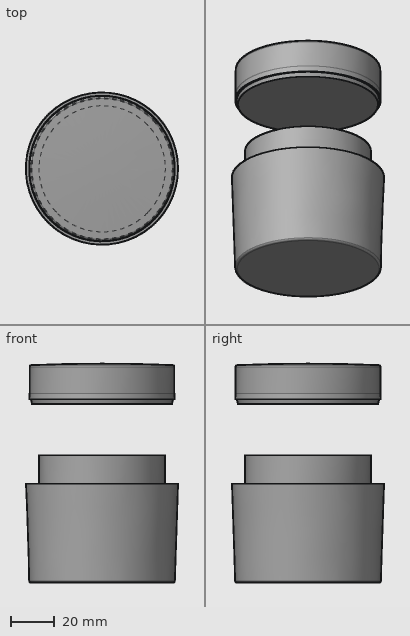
import cadquery as cq
import math

jar_top_radius = 35.0
jar_bottom_radius = 33.5
shoulder_height = 45.5
base_edge_radius = 1.0
neck_radius = 29.0
neck_height = 13.0

lid_gap = 23.5
lid_radius = 33.3
lid_foot_bottom_radius = 32.2
lid_foot_top_radius = 32.7
lid_foot_height = 2.1
lid_flare_radius = 33.5
lid_flare_height = 2.9
lid_wall_height = 12.0
lid_rim_round = 0.9
lid_crown_rise = 0.7

jar_height = shoulder_height + neck_height
lid_bottom = jar_height + lid_gap


def make_jar():
    """Cone that widens upward, rounded at its base, with the neck on its shoulder."""
    taper_angle = math.degrees(math.atan((jar_top_radius - jar_bottom_radius) / shoulder_height))
    body = (
        cq.Workplane("XY")
        .circle(jar_bottom_radius)
        .extrude(shoulder_height, taper=-taper_angle)
        .faces("<Z").edges()
        .fillet(base_edge_radius)
    )
    neck = cq.Workplane("XY").workplane(offset=shoulder_height).circle(neck_radius).extrude(neck_height)
    return body.union(neck)


def make_lid():
    """Revolved disc: tapered foot, flared skirt, straight wall, rounded rim and domed crown."""
    foot_top = lid_bottom + lid_foot_height
    wall_bottom = foot_top + lid_flare_height
    wall_top = wall_bottom + lid_wall_height
    rim_top = wall_top + lid_rim_round
    crown_top = rim_top + lid_crown_rise
    crown_radius = lid_radius - lid_rim_round

    rim_middle_offset = lid_rim_round * math.sin(math.radians(45))
    rim_middle = (crown_radius + rim_middle_offset, wall_top + rim_middle_offset)
    dome_radius = (crown_radius**2 + lid_crown_rise**2) / (2 * lid_crown_rise)
    dome_middle_x = crown_radius / 2
    dome_middle_z = crown_top - dome_radius + math.sqrt(dome_radius**2 - dome_middle_x**2)

    return (
        cq.Workplane("XZ")
        .moveTo(0, lid_bottom)
        .lineTo(lid_foot_bottom_radius, lid_bottom)
        .lineTo(lid_foot_top_radius, foot_top)
        .lineTo(lid_flare_radius, foot_top)
        .lineTo(lid_radius, wall_bottom)
        .lineTo(lid_radius, wall_top)
        .threePointArc(rim_middle, (crown_radius, rim_top))
        .threePointArc((dome_middle_x, dome_middle_z), (0, crown_top))
        .close()
        .revolve(360, (0, 0), (0, 1))
    )


jar = make_jar()
lid = make_lid()

result = cq.Compound.makeCompound([jar.val(), lid.val()])